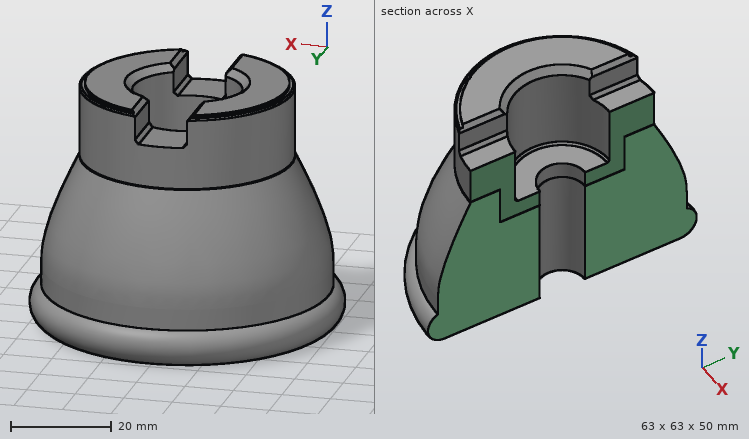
import cadquery as cq

overall_diameter = 63.0
overall_height = 50.0

rim_height = 8.0
band_radius = 58.35 / 2
band_top = 12.0
dome_middle_radius = 27.15
dome_middle_height = 22.0
dome_top = 34.65
dome_top_slope = (-0.5, 1.0)
neck_height = 0.2
through_hole_diameter = 10.5

collar_radius = 43.0 / 2
collar_bottom = dome_top + neck_height
collar_edge_chamfer = 0.4
raised_face_radius = 20.4
raised_face_height = 0.45
spigot_radius = 14.5
spigot_bottom = 25.8

bore_radius = 22.0 / 2
bore_lip_chamfer = 1.5
bore_floor = 29.6
bore_floor_chamfer = 0.5

slot_width = 10.7
slot_depth = 6.55
slot_lip_chamfer = 1.0
slot_floor_chamfer = 0.8


def make_through_hole():
    """Axial hole shared by the base and the hub floor."""
    return cq.Workplane("XY").circle(through_hole_diameter / 2).extrude(overall_height)


def make_base():
    """Revolve the rim, band and dome, then cut the spigot socket and through hole."""
    rim_radius = rim_height / 2
    rim_center = overall_diameter / 2 - rim_radius
    rim_joint = rim_radius + (rim_radius**2 - (band_radius - rim_center) ** 2) ** 0.5

    body = (
        cq.Workplane("XZ")
        .lineTo(rim_center, 0)
        .threePointArc((overall_diameter / 2, rim_radius), (band_radius, rim_joint))
        .lineTo(band_radius, band_top)
        .spline(
            [(dome_middle_radius, dome_middle_height), (collar_radius, dome_top)],
            tangents=[(0, 1), dome_top_slope],
            includeCurrent=True,
        )
        .lineTo(collar_radius, collar_bottom)
        .lineTo(0, collar_bottom)
        .close()
        .revolve(360, (0, 0), (0, 1))
    )
    socket = (
        cq.Workplane("XY")
        .workplane(offset=spigot_bottom)
        .circle(spigot_radius)
        .extrude(collar_bottom - spigot_bottom)
    )
    return body.cut(socket).cut(make_through_hole())


def make_slot():
    """Slot along Y with chamfered lips and floor corners."""
    half_width = slot_width / 2
    floor = overall_height - slot_depth
    right_side = [
        (half_width - slot_floor_chamfer, floor),
        (half_width, floor + slot_floor_chamfer),
        (half_width, overall_height - slot_lip_chamfer),
        (half_width + slot_lip_chamfer, overall_height),
    ]
    left_side = [(-x, z) for x, z in reversed(right_side)]
    return cq.Workplane("XZ").polyline(right_side + left_side).close().extrude(collar_radius, both=True)


def make_hub():
    """Revolve the stepped collar and spigot with their bore, then cut the slot and through hole."""
    shoulder = overall_height - raised_face_height
    body = (
        cq.Workplane("XZ")
        .polyline(
            [
                (0, spigot_bottom),
                (spigot_radius, spigot_bottom),
                (spigot_radius, collar_bottom),
                (collar_radius, collar_bottom),
                (collar_radius, shoulder - collar_edge_chamfer),
                (collar_radius - collar_edge_chamfer, shoulder),
                (raised_face_radius, shoulder),
                (raised_face_radius, overall_height),
                (bore_radius + bore_lip_chamfer, overall_height),
                (bore_radius, overall_height - bore_lip_chamfer),
                (bore_radius, bore_floor + bore_floor_chamfer),
                (bore_radius - bore_floor_chamfer, bore_floor),
                (0, bore_floor),
            ]
        )
        .close()
        .revolve(360, (0, 0), (0, 1))
    )
    return body.cut(make_slot()).cut(make_through_hole())


base = make_base()
hub = make_hub()

result = cq.Compound.makeCompound([base.val(), hub.val()])